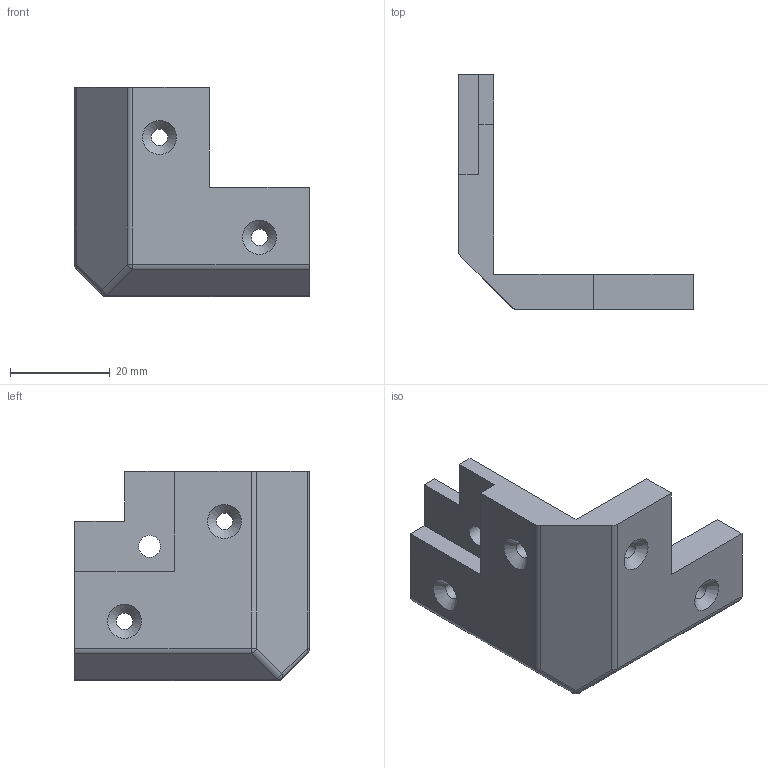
import cadquery as cq
import math

arm = 47.0
wall = 7.0
bevel = 11.0
edge_radius = 1.5
rim_radius = 0.8

module = 10.0
notch_start = wall + 2 * module
tab_step = notch_start + module
pocket_depth = 4.0

screw_near = wall + module
screw_far = wall + 3 * module
screw_diameter = 3.3
sink_diameter = 6.8
screw_radius = screw_diameter / 2
sink_radius = sink_diameter / 2
sink_depth = sink_radius - screw_radius

tab_hole_diameter = 4.4
tab_hole_radius = tab_hole_diameter / 2
tab_hole_place = notch_start + module / 2


def block(start, end):
    """Axis-aligned box between two opposite corners."""
    size = [high - low for low, high in zip(start, end)]
    return cq.Workplane("XY").box(*size, centered=False).translate(start)


def rounded_bevelled_cube():
    """Cube whose three edges at the origin are bevelled and softly rounded."""
    cube = block((0, 0, 0), (arm, arm, arm))
    for plane, direction in (("XY", 1), ("YZ", 1), ("XZ", -1)):
        wedge = cq.Workplane(plane).polyline([(0, 0), (bevel, 0), (0, bevel)]).close()
        cube = cube.cut(wedge.extrude(direction * arm))
    margin = 1.0
    bevel_edges = cq.selectors.BoxSelector((-margin,) * 3, (arm - margin,) * 3)
    return cube.edges(bevel_edges).fillet(edge_radius)


def rim_rounding_cutter():
    """Sharp tip to remove below the round of the bottom rim, swept along both walls."""
    tip_angle = math.radians(45)
    tip_z = bevel - wall
    tangent_length = rim_radius / math.tan(tip_angle / 2)
    slant = tangent_length * math.sin(tip_angle)
    round_center_z = tip_z + tangent_length
    profile = (
        cq.Workplane("YZ", origin=(arm, 0, 0))
        .moveTo(wall, tip_z)
        .lineTo(wall, round_center_z)
        .threePointArc((wall - rim_radius, round_center_z - rim_radius), (wall - slant, tip_z + slant))
        .close()
    )
    path = cq.Workplane("XY", origin=(0, 0, tip_z)).polyline([(arm, wall), (wall, wall), (wall, arm)])
    return profile.sweep(path, transition="right")


def turned_cutter(plane, profile):
    """Body turned about the wall's normal; profile is a list of (depth, radius)."""
    points = [(depth, -radius) for depth, radius in profile]
    return cq.Workplane(plane).polyline(points).close().revolve(360, (0, 0), (1, 0))


result = rounded_bevelled_cube()
result = result.cut(block((wall, wall, 0), (arm, arm, arm)))
result = result.cut(rim_rounding_cutter())

result = result.cut(block((notch_start, 0, notch_start), (arm, wall, arm)))

result = result.cut(block((0, notch_start, notch_start), (pocket_depth, arm, arm)))
result = result.cut(block((0, tab_step, tab_step), (wall, arm, arm)))
tab_hole = turned_cutter("XZ", [(0, 0), (0, tab_hole_radius), (wall, tab_hole_radius), (wall, 0)])
result = result.cut(tab_hole.translate((0, tab_hole_place, tab_hole_place)))

screw_profile = [
    (0, 0),
    (0, sink_radius),
    (sink_depth, screw_radius),
    (wall, screw_radius),
    (wall, 0),
]
front_screw = turned_cutter("YZ", screw_profile)
side_screw = turned_cutter("XZ", screw_profile)
for along, up in ((screw_near, screw_far), (screw_far, screw_near)):
    result = result.cut(front_screw.translate((along, 0, up)))
    result = result.cut(side_screw.translate((0, along, up)))